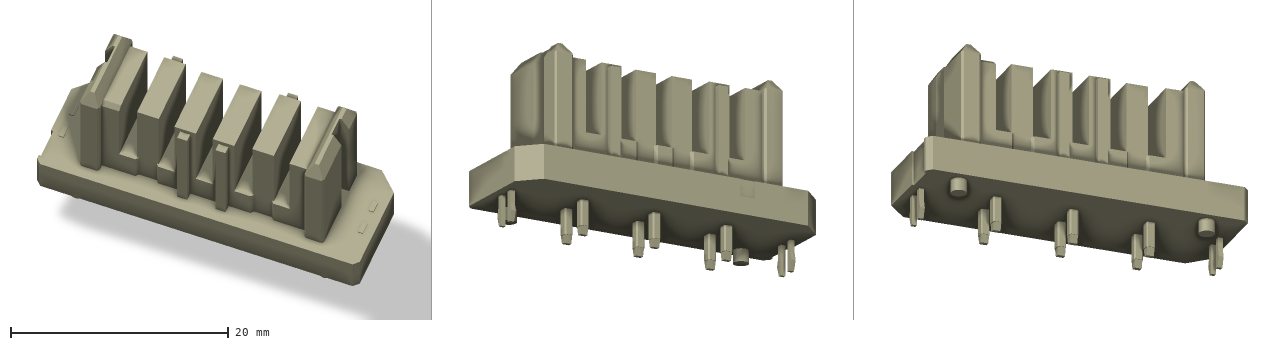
import cadquery as cq


base_length = 32.0
base_width = 11.0
base_height = 3.4
back_corner = 1.98
front_corner = 0.5
side_notch_depth = 0.22
side_notch_back = -1.57
side_notch_front = -4.57
back_notch_center = -7.6
back_notch_length = 1.5
back_notch_depth = 0.1
back_notch_height = base_height / 2

body_half_width = 3.52
floor_z = 5.98
blade_top_z = 13.02
slot_pitch = 3.8
slot_width = 1.65
slot_count = 5
recess_depth = 0.3
recess_width = 2.27
recess_slope = 0.25
inner_blade_x = slot_pitch / 2
outer_blade_x = 1.5 * slot_pitch
end_bevel_run = 0.45
end_bevel_drop = 0.38

rib_width = 1.0
rib_top_z = 12.57
rib_reach = 4.3

guide_x = 11.13
guide_thickness = 1.95
guide_width = 2 * rib_reach
guide_top_z = 14.2
guide_ridge_thickness = 0.4
guide_ridge_width = 6.9
guide_corner = 0.2
groove_y = 1.18
groove_width = 1.95

pin_x_spacing = 2 * slot_pitch
pin_y = 1.5
pin_width = 0.85
pin_depth = 0.95
pin_corner = 0.13
pin_taper_z = -2.5
pin_tip_z = -3.3
pin_tip_thickness = 0.45

leg_x = 14.85
leg_thickness = 0.48
leg_inner_y = 0.6
leg_outer_y = 1.12
leg_bulge_y = 1.3
leg_tip_y = 1.0
leg_bulge_start_z = -1.2
leg_bulge_z = -1.98
leg_tip_z = -2.98
head_y = 1.3
head_width = 1.18
head_height = 0.1

peg_x = 12.32
peg_y = -4.0
peg_diameter = 1.5
peg_length = 1.25


def block(x_range, y_range, z_range):
    """Box spanning the given (low, high) ranges."""
    spans = [high - low for low, high in (x_range, y_range, z_range)]
    corner = (x_range[0], y_range[0], z_range[0])
    return cq.Workplane("XY").box(*spans, centered=False).translate(corner)


def span(center, width):
    """Low and high limits of a width about a center."""
    return (center - width / 2, center + width / 2)


def make_base():
    half_length = base_length / 2
    half_width = base_width / 2
    outline = [
        (-half_length, half_width - back_corner),
        (-half_length + back_corner, half_width),
        (half_length - back_corner, half_width),
        (half_length, half_width - back_corner),
        (half_length, -half_width + front_corner),
        (half_length - front_corner, -half_width),
        (-half_length + front_corner, -half_width),
        (-half_length, -half_width + front_corner),
    ]
    base = cq.Workplane("XY").polyline(outline).close().extrude(base_height)
    side_notch = block(
        (-half_length, -half_length + side_notch_depth),
        (side_notch_front, side_notch_back),
        (0, base_height),
    )
    back_notch = block(
        span(back_notch_center, back_notch_length),
        (half_width - back_notch_depth, half_width),
        (base_height - back_notch_height, base_height),
    )
    return base.cut(side_notch).cut(back_notch)


def make_recess(blade_x, side):
    """Shallow recess in the front (side -1) or back (side 1) of one blade.

    Its ends slope up to the slot floor; above that it takes the whole blade.
    """
    outer_y = side * body_half_width
    inner_y = side * (body_half_width - recess_depth)
    half_width = recess_width / 2
    outline = [
        (blade_x - half_width, outer_y),
        (blade_x + half_width, outer_y),
        (blade_x + half_width - recess_slope, inner_y),
        (blade_x - half_width + recess_slope, inner_y),
    ]
    lower = (
        cq.Workplane("XY", origin=(0, 0, base_height))
        .polyline(outline).close()
        .extrude(floor_z - base_height)
    )
    upper = block(
        span(blade_x, slot_pitch - slot_width),
        (min(outer_y, inner_y), max(outer_y, inner_y)),
        (floor_z, blade_top_z),
    )
    return lower.union(upper)


def make_rib(blade_x, side):
    """Keying rib on the front (side -1) or back (side 1) of one blade."""
    root_y = side * body_half_width
    tip_y = side * rib_reach
    return block(
        span(blade_x, rib_width),
        (min(root_y, tip_y), max(root_y, tip_y)),
        (base_height, rib_top_z),
    )


def make_body():
    body = block(
        (-guide_x, guide_x),
        (-body_half_width, body_half_width),
        (base_height, blade_top_z),
    )
    for index in range(slot_count):
        slot_x = (index - (slot_count - 1) / 2) * slot_pitch
        slot = block(
            span(slot_x, slot_width),
            (-body_half_width, body_half_width),
            (floor_z, blade_top_z),
        )
        body = body.cut(slot)

    first_slot_x = -(slot_count - 1) / 2 * slot_pitch
    end_bevel = (
        cq.Workplane("YZ", origin=(-guide_x, 0, 0))
        .moveTo(-body_half_width, blade_top_z)
        .lineTo(-body_half_width + end_bevel_run, blade_top_z)
        .lineTo(-body_half_width, blade_top_z - end_bevel_drop)
        .close()
        .extrude(guide_x + first_slot_x)
    )
    body = body.cut(end_bevel)

    for blade_x, recess_side in ((outer_blade_x, -1), (inner_blade_x, 1)):
        for x in (-blade_x, blade_x):
            body = body.cut(make_recess(x, recess_side))
            body = body.union(make_rib(x, -recess_side))
    return body


def make_guide():
    """Upright end guide, centered on X = 0, with all four top sides sloping."""
    post = block(
        span(0, guide_thickness),
        span(0, guide_width),
        (base_height, blade_top_z),
    )
    roof = (
        cq.Workplane("XY", origin=(0, 0, blade_top_z))
        .rect(guide_thickness, guide_width)
        .workplane(offset=guide_top_z - blade_top_z)
        .rect(guide_ridge_thickness, guide_ridge_width)
        .loft(ruled=True)
    )
    envelope = block(
        span(0, guide_thickness),
        span(0, guide_width),
        (base_height, guide_top_z),
    )
    envelope = envelope.edges("|Z").chamfer(guide_corner)
    return post.union(roof).intersect(envelope)


def make_groove(side):
    """Groove in the outer half of the left (side -1) or right (side 1) guide."""
    outer_x = side * (guide_x + guide_thickness / 2)
    inner_x = side * guide_x
    return block(
        (min(outer_x, inner_x), max(outer_x, inner_x)),
        span(groove_y, groove_width),
        (base_height, guide_top_z),
    )


def make_pin():
    """Rectangular contact pin with bevelled corners and a tip thinned along Y."""
    shaft = (
        cq.Workplane("XY")
        .rect(pin_width, pin_depth)
        .extrude(pin_taper_z)
        .edges("|Z").chamfer(pin_corner)
    )
    tip_width = pin_width - pin_corner
    tip = (
        cq.Workplane("XY", origin=(0, 0, pin_taper_z))
        .rect(tip_width, pin_depth - pin_corner)
        .workplane(offset=pin_tip_z - pin_taper_z)
        .rect(tip_width, pin_tip_thickness)
        .loft(ruled=True)
    )
    return shaft.union(tip)


def make_leg():
    """Retention leg on the +Y side, centered on X = 0, with its head on top."""
    profile = [
        (leg_inner_y, 0),
        (leg_outer_y, 0),
        (leg_outer_y, leg_bulge_start_z),
        (leg_bulge_y, leg_bulge_z),
        (leg_tip_y, leg_tip_z),
        (leg_inner_y, leg_tip_z),
    ]
    leg = cq.Workplane("YZ").polyline(profile).close().extrude(leg_thickness / 2, both=True)
    head = block(
        span(0, leg_thickness),
        span(head_y, head_width),
        (base_height, base_height + head_height),
    )
    return leg.union(head)


part = make_base().union(make_body())

guide = make_guide()
for side in (-1, 1):
    part = part.union(guide.translate((side * guide_x, 0, 0)))
    part = part.cut(make_groove(side))

pin = make_pin()
for column in (-1, 0, 1):
    for side in (-1, 1):
        part = part.union(pin.translate((column * pin_x_spacing, side * pin_y, 0)))

back_leg = make_leg()
front_leg = back_leg.mirror("XZ")
peg = cq.Workplane("XY").circle(peg_diameter / 2).extrude(-peg_length)
for side in (-1, 1):
    for leg in (back_leg, front_leg):
        part = part.union(leg.translate((side * leg_x, 0, 0)))
    part = part.union(peg.translate((side * peg_x, peg_y, 0)))

result = part